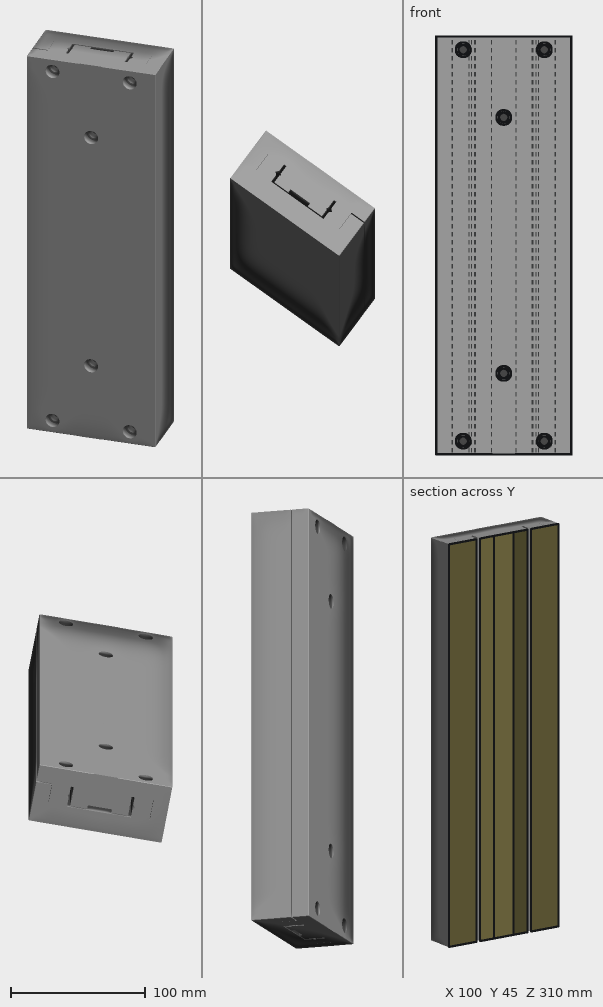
import cadquery as cq

length = 310.0
width = 100.0
depth = 45.0
edge_chamfer = 0.3

base_thickness = 13.0
rib_width = 18.0
rib_top = 25.5

rail_span = 43.7
rail_top = 28.2

channel_width = 48.0
channel_top = 29.0
flank_clearance = 1.0

slit_spacing = 76.3
slit_width = 0.2
slit_top = 28.2

groove_y = 21.0
carriage_groove_depth = 2.0
rail_groove_depth = 1.0

screw_diameter = 7.0
counterbore_diameter = 11.0
counterbore_depth = 6.5
corner_hole_x = 30.0
corner_hole_z = 145.0
centre_hole_z = 95.0
hole_places = [(x, z) for x in (-corner_hole_x, corner_hole_x) for z in (-corner_hole_z, corner_hole_z)]
hole_places += [(0, z) for z in (-centre_hole_z, centre_hole_z)]


def bar(x_min, x_max, y_min, y_max):
    """Full-length bar with a rectangular section."""
    return (
        cq.Workplane("XY", origin=(0, 0, -length / 2))
        .moveTo(x_min, y_min)
        .lineTo(x_max, y_min)
        .lineTo(x_max, y_max)
        .lineTo(x_min, y_max)
        .close()
        .extrude(length)
    )


def v_groove(x_face, groove_depth):
    """Full-length diamond cutter that leaves a 90 degree V in a wall at x_face."""
    return (
        cq.Workplane("XY", origin=(0, 0, -length / 2))
        .moveTo(x_face - groove_depth, groove_y)
        .lineTo(x_face, groove_y - groove_depth)
        .lineTo(x_face + groove_depth, groove_y)
        .lineTo(x_face, groove_y + groove_depth)
        .close()
        .extrude(length)
    )


def make_base():
    plate = bar(-width / 2, width / 2, 0, base_thickness)
    plate = plate.faces("<X or >X or <Y").edges("not >Y").chamfer(edge_chamfer)
    base = plate.union(bar(-rib_width / 2, rib_width / 2, 0, rib_top))
    shanks = (
        cq.Workplane("XZ").pushPoints(hole_places).circle(screw_diameter / 2).extrude(-base_thickness)
    )
    counterbores = (
        cq.Workplane("XZ").pushPoints(hole_places).circle(counterbore_diameter / 2).extrude(-counterbore_depth)
    )
    return base.cut(shanks).cut(counterbores)


def make_rail(side):
    """Inner rail on the left (side = -1) or right (side = 1) of the rib."""
    x_ends = sorted((side * rib_width / 2, side * rail_span / 2))
    rail = bar(*x_ends, base_thickness, rail_top)
    return rail.cut(v_groove(side * rail_span / 2, rail_groove_depth))


def make_carriage():
    body = bar(-width / 2, width / 2, base_thickness, depth)
    body = body.faces("<X").edges("not <Y").chamfer(edge_chamfer)
    carriage = body.cut(bar(-channel_width / 2, channel_width / 2, base_thickness, channel_top))
    for side in (-1, 1):
        slit_x = side * slit_spacing / 2
        carriage = carriage.cut(v_groove(side * channel_width / 2, carriage_groove_depth))
        carriage = carriage.cut(
            bar(slit_x - slit_width / 2, slit_x + slit_width / 2, base_thickness, slit_top)
        )
    return carriage.cut(
        bar(-width / 2, -slit_spacing / 2, base_thickness, base_thickness + flank_clearance)
    )


base = make_base()
carriage = make_carriage()
rails = [make_rail(side) for side in (-1, 1)]

result = cq.Compound.makeCompound([base.val(), carriage.val(), *[rail.val() for rail in rails]])